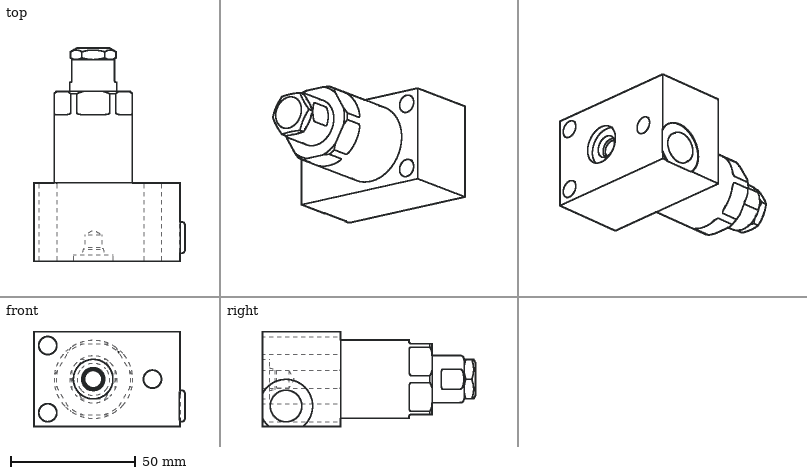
import math

import cadquery as cq

INCH = 25.4


total_length = 60.72
total_depth = 85.72

block_length = 2.3125 * INCH
block_depth = 31.5
block_height = 1.5 * INCH
axis_to_left_side = 0.9375 * INCH
block_left = -axis_to_left_side
block_right = block_left + block_length
block_bottom = -block_height / 2

mount_hole_diameter = 9 / 32 * INCH
mount_hole_inset = 7 / 32 * INCH
mount_hole_left_x = block_left + mount_hole_inset
mount_hole_right_x = block_left + 1.875 * INCH
mount_hole_z = block_height / 2 - mount_hole_inset
mount_holes = [
    (mount_hole_left_x, mount_hole_z),
    (mount_hole_left_x, -mount_hole_z),
    (mount_hole_right_x, 0),
]

counterbore_radius = 5 / 16 * INCH
counterbore_depth = 2.7
port_mouth_radius = 4.6
port_inner_radius = 4.05
port_taper_length = 2.2
port_drill_radius = 3.5
port_step_length = 0.7
port_drill_length = 5.0
drill_point_angle = 118
drill_point_length = port_drill_radius / math.tan(math.radians(drill_point_angle / 2))

plug_radius = 0.25 * INCH
plug_projection = total_length - block_length
plug_edge_radius = 1.4
plug_y = 0.375 * INCH
plug_z = block_bottom + 8.25
spotface_radius = 10.7
spotface_depth = 0.35

body_radius = 31.5 / 2
body_end = block_depth + 36.75
body_chamfer = 0.9
body_flats_width = 1.125 * INCH
body_flats_length = 9.3
body_flats_fillet = 0.8

stem_radius = 0.375 * INCH
stem_end = body_end + 12.8
stem_edge_radius = 1.5
stem_flats_width = 17.3
stem_flats_start = body_end + 3.7
stem_flats_fillet = 0.5

nut_width = 0.625 * INCH
nut_corner_radius = nut_width / math.sqrt(3)
nut_end = total_depth
nut_chamfer_angle = math.radians(30)
nut_end_face_radius = 6.5
nut_seat_face_radius = nut_width / 2

HEX_SIDES = 6
CUTTER_CLEARANCE = 5.0


def cylinder(radius, y_start, y_end):
    """Solid cylinder on the valve axis."""
    return cq.Workplane("XZ", origin=(0, y_start, 0)).circle(radius).extrude(y_start - y_end)


def revolve_on_axis(profile):
    """Revolve a closed profile of (radius, Y) points about the valve axis."""
    return cq.Workplane("XY").polyline(profile).close().revolve(360, (0, 0, 0), (0, 1, 0))


def flat_cutter(flat_distance, y_start, y_end, fillet, angle):
    """Block that leaves a flat at a distance from the axis, with a filleted inner shoulder."""
    reach = 2 * flat_distance
    return (
        cq.Workplane("XY")
        .box(2 * reach, y_end - y_start, reach, centered=(True, False, False))
        .translate((0, y_start, flat_distance))
        .faces("<Z")
        .edges("<Y")
        .fillet(fillet)
        .rotate((0, 0, 0), (0, 1, 0), angle)
    )


def make_block():
    block = cq.Workplane("XY").box(block_length, block_depth, block_height, centered=False)
    block = block.translate((block_left, 0, block_bottom))
    for x, z in mount_holes:
        hole = cylinder(mount_hole_diameter / 2, 0, block_depth).translate((x, 0, z))
        block = block.cut(hole)
    return block.cut(make_port())


def make_port():
    taper_end = counterbore_depth + port_taper_length
    step_end = taper_end + port_step_length
    drill_end = step_end + port_drill_length
    return revolve_on_axis([
        (0, 0),
        (counterbore_radius, 0),
        (counterbore_radius, counterbore_depth),
        (port_mouth_radius, counterbore_depth),
        (port_inner_radius, taper_end),
        (port_drill_radius, step_end),
        (port_drill_radius, drill_end),
        (0, drill_end + drill_point_length),
    ])


def add_side_plug(block):
    floor_x = block_right - spotface_depth
    side = cq.Workplane("YZ", origin=(floor_x, plug_y, plug_z))
    plug = side.circle(plug_radius).extrude(spotface_depth + plug_projection)
    plug = plug.faces(">X").edges().fillet(plug_edge_radius)
    return block.cut(side.circle(spotface_radius).extrude(spotface_depth)).union(plug)


def make_body():
    body = cylinder(body_radius, block_depth, body_end).faces(">Y").edges().chamfer(body_chamfer)
    for side in range(HEX_SIDES):
        body = body.cut(flat_cutter(
            body_flats_width / 2,
            body_end - body_flats_length,
            body_end + CUTTER_CLEARANCE,
            body_flats_fillet,
            side * 360 / HEX_SIDES,
        ))
    return body


def make_stem():
    stem = cylinder(stem_radius, body_end, stem_end).faces(">Y").edges().fillet(stem_edge_radius)
    for angle in (90, -90):
        stem = stem.cut(flat_cutter(
            stem_flats_width / 2,
            stem_flats_start,
            stem_end + CUTTER_CLEARANCE,
            stem_flats_fillet,
            angle,
        ))
    return stem


def make_lock_nut():
    """Hexagon with corners on +X and -X, trimmed to a turned outline with conical ends."""
    hexagon = (
        cq.Workplane("XZ", origin=(0, stem_end, 0))
        .polygon(HEX_SIDES, 2 * nut_corner_radius)
        .extrude(stem_end - nut_end)
    )
    slope = math.tan(nut_chamfer_angle)
    end_drop = (nut_corner_radius - nut_end_face_radius) * slope
    seat_drop = (nut_corner_radius - nut_seat_face_radius) * slope
    outline = revolve_on_axis([
        (0, stem_end),
        (nut_seat_face_radius, stem_end),
        (nut_corner_radius, stem_end + seat_drop),
        (nut_corner_radius, nut_end - end_drop),
        (nut_end_face_radius, nut_end),
        (0, nut_end),
    ])
    return hexagon.intersect(outline)


valve_block = add_side_plug(make_block())
result = valve_block.union(make_body()).union(make_stem()).union(make_lock_nut())